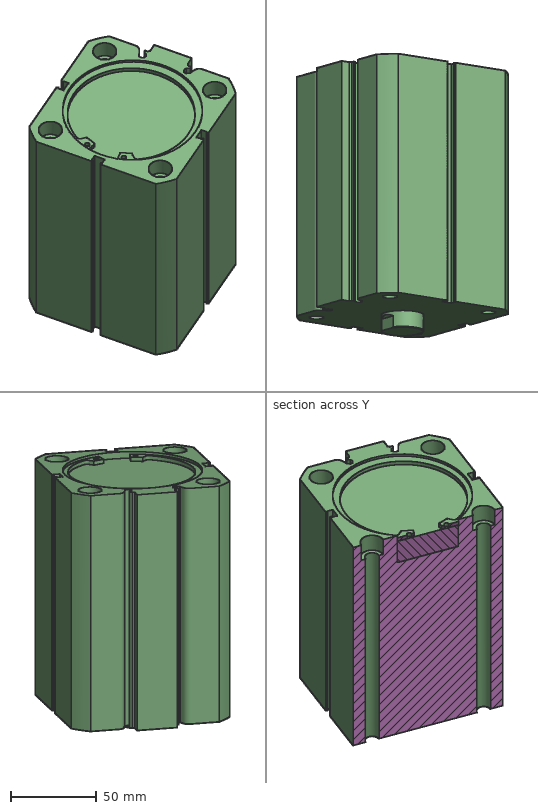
import cadquery as cq
import math

TOTAL_HEIGHT = 153.5
ROD_PROJECTION = 10.0
HOUSING_HEIGHT = TOTAL_HEIGHT - ROD_PROJECTION
HOUSING_SIDE = 96.5
HALF_SIDE = HOUSING_SIDE / 2
CORNER_RADIUS_FROM_AXIS = 62.2
TOTAL_DEPTH = 102.0

RAIL_WIDTH = 24.5
RAIL_HEIGHT = TOTAL_DEPTH - HOUSING_SIDE
HALF_RAIL = RAIL_WIDTH / 2

GROOVE_RADIUS = 2.1
GROOVE_X = 14.7
GROOVE_Y = 43.1
RAIL_LIP_X = 15.0
RAIL_LIP_TOP = 47.1
RAIL_LIP_BOTTOM = 45.9
RAIL_LIP_CHAMFER = 0.6
GROOVE_MOUTH_X = 19.3
GROOVE_EDGE_RADIUS = 4.0

SLOT_DEPTH = 4.8
SLOT_WIDTH = 6.6
SLOT_MOUTH_WIDTH = 5.0
SLOT_LIP = 1.2
SLOT_CHAMFER = 0.54

BOLT_SPACING = 72.0
BOLT_HOLE_DIAMETER = 8.6
COUNTERBORE_DIAMETER = 13.8
COUNTERBORE_DEPTH = 10.7

BORE_RADIUS = 41.0
CIRCLIP_RECESS = 1.5
CIRCLIP_THICKNESS = 2.5
COVER_THICKNESS = 15.4
COVER_TOP = HOUSING_HEIGHT - CIRCLIP_RECESS - CIRCLIP_THICKNESS
BORE_FLOOR = COVER_TOP - COVER_THICKNESS

CIRCLIP_INNER_RADIUS = 37.5
CIRCLIP_INNER_OFFSET = -1.7
LUG_ROOT = (18.9, -34.7)
LUG_TIP = (14.9, -30.7)
LUG_INNER_CORNER = (8.3, -33.2)
LUG_OUTER_CORNER = (9.8, -41.5)
LUG_ROOT_RADIUS = 2.3
LUG_HOLE_X = 12.0
LUG_HOLE_Y = -35.8
LUG_HOLE_DIAMETER = 2.8

ROD_DIAMETER = 24.9
ROD_RADIUS = ROD_DIAMETER / 2
FLAT_DISTANCE = 22.1
FLAT_START = 1.5
ROD_END_CHAMFER = 0.5


def make_outline():
    """Square block with turned corners and the rail on its +Y side."""
    block = cq.Workplane("XY").rect(HOUSING_SIDE, HOUSING_SIDE).extrude(HOUSING_HEIGHT)
    turned = cq.Workplane("XY").circle(CORNER_RADIUS_FROM_AXIS).extrude(HOUSING_HEIGHT)
    rail = (
        cq.Workplane("XY")
        .center(0, HALF_SIDE + RAIL_HEIGHT / 2)
        .rect(RAIL_WIDTH, RAIL_HEIGHT)
        .extrude(HOUSING_HEIGHT)
    )
    return block.intersect(turned).union(rail)


def make_rail_groove():
    """Cutter for the groove on the +X side of the rail, with a round bottom."""
    neck = GROOVE_RADIUS * math.cos(math.radians(45))
    lip_slope = HALF_SIDE - RAIL_LIP_TOP
    return (
        cq.Workplane("XY")
        .moveTo(HALF_RAIL, HALF_SIDE)
        .lineTo(HALF_RAIL + lip_slope, RAIL_LIP_TOP)
        .lineTo(RAIL_LIP_X, RAIL_LIP_TOP)
        .lineTo(RAIL_LIP_X, RAIL_LIP_BOTTOM)
        .lineTo(RAIL_LIP_X - RAIL_LIP_CHAMFER, RAIL_LIP_BOTTOM - RAIL_LIP_CHAMFER)
        .lineTo(GROOVE_X - neck, GROOVE_Y + neck)
        .threePointArc((GROOVE_X - neck, GROOVE_Y - neck), (GROOVE_X, GROOVE_Y - GROOVE_RADIUS))
        .threePointArc((GROOVE_X + neck, GROOVE_Y - neck), (GROOVE_X + GROOVE_RADIUS, GROOVE_Y))
        .lineTo(GROOVE_MOUTH_X, HALF_SIDE)
        .close()
        .extrude(HOUSING_HEIGHT)
    )


def make_sensor_slot():
    """Cutter for the T-shaped slot in the -Y side, with a chamfered mouth."""
    half_mouth = SLOT_MOUTH_WIDTH / 2
    half_slot = SLOT_WIDTH / 2
    right_half = [
        (half_mouth + SLOT_CHAMFER, -HALF_SIDE),
        (half_mouth, -HALF_SIDE + SLOT_CHAMFER),
        (half_mouth, -HALF_SIDE + SLOT_LIP),
        (half_slot, -HALF_SIDE + SLOT_LIP),
        (half_slot, -HALF_SIDE + SLOT_DEPTH),
    ]
    left_half = [(-x, y) for x, y in reversed(right_half)]
    return cq.Workplane("XY").polyline(right_half + left_half).close().extrude(HOUSING_HEIGHT)


def make_housing():
    housing = make_outline()

    groove = make_rail_groove()
    housing = housing.cut(groove).cut(groove.mirror("YZ"))
    for side in (-1, 1):
        mouth_edge = cq.selectors.NearestToPointSelector(
            (side * GROOVE_MOUTH_X, HALF_SIDE, HOUSING_HEIGHT / 2)
        )
        housing = housing.edges("|Z").edges(mouth_edge).fillet(GROOVE_EDGE_RADIUS)

    slot = make_sensor_slot()
    for angle in (-90, 0, 90):
        housing = housing.cut(slot.rotate((0, 0, 0), (0, 0, 1), angle))

    housing = (
        housing.faces(">Z")
        .workplane(origin=(0, 0, HOUSING_HEIGHT))
        .rect(BOLT_SPACING, BOLT_SPACING, forConstruction=True)
        .vertices()
        .cboreHole(BOLT_HOLE_DIAMETER, COUNTERBORE_DIAMETER, COUNTERBORE_DEPTH)
    )

    bore = (
        cq.Workplane("XY", origin=(0, 0, BORE_FLOOR))
        .circle(BORE_RADIUS)
        .extrude(HOUSING_HEIGHT - BORE_FLOOR)
    )
    rod_passage = cq.Workplane("XY").circle(ROD_RADIUS).extrude(BORE_FLOOR)
    return housing.cut(bore).cut(rod_passage)


def make_cover():
    return cq.Workplane("XY", origin=(0, 0, BORE_FLOOR)).circle(BORE_RADIUS).extrude(COVER_THICKNESS)


def make_circlip():
    """Internal retaining ring, thickest at +Y, open between two lugs at -Y."""
    plane = cq.Workplane("XY", origin=(0, 0, COVER_TOP))
    disc = plane.circle(BORE_RADIUS).extrude(CIRCLIP_THICKNESS)
    opening = plane.center(0, CIRCLIP_INNER_OFFSET).circle(CIRCLIP_INNER_RADIUS).extrude(CIRCLIP_THICKNESS)
    circlip = disc.cut(opening)

    lug_base = (LUG_ROOT[0], LUG_OUTER_CORNER[1])
    lug = (
        plane.polyline([LUG_ROOT, LUG_TIP, LUG_INNER_CORNER, LUG_OUTER_CORNER, lug_base])
        .close()
        .extrude(CIRCLIP_THICKNESS)
        .intersect(disc)
    )
    circlip = circlip.union(lug).union(lug.mirror("YZ"))

    gap_right = [LUG_INNER_CORNER, LUG_OUTER_CORNER]
    gap_left = [(-x, y) for x, y in reversed(gap_right)]
    circlip = circlip.cut(plane.polyline(gap_right + gap_left).close().extrude(CIRCLIP_THICKNESS))

    for side in (-1, 1):
        root_edge = cq.selectors.NearestToPointSelector(
            (side * LUG_ROOT[0], LUG_ROOT[1], COVER_TOP + CIRCLIP_THICKNESS / 2)
        )
        circlip = circlip.edges("|Z").edges(root_edge).fillet(LUG_ROOT_RADIUS)

    holes = (
        plane.pushPoints([(-LUG_HOLE_X, LUG_HOLE_Y), (LUG_HOLE_X, LUG_HOLE_Y)])
        .circle(LUG_HOLE_DIAMETER / 2)
        .extrude(CIRCLIP_THICKNESS)
    )
    return circlip.cut(holes)


def make_rod():
    """Rod from the underside of the cover to the lower end, flattened on +Y and -Y."""
    rod = (
        cq.Workplane("XY", origin=(0, 0, -ROD_PROJECTION))
        .circle(ROD_RADIUS)
        .extrude(ROD_PROJECTION + BORE_FLOOR)
        .faces("<Z")
        .chamfer(ROD_END_CHAMFER)
    )

    half_flat = FLAT_DISTANCE / 2
    flat_depth = ROD_RADIUS - half_flat
    flat = (
        cq.Workplane("YZ")
        .moveTo(half_flat, -ROD_PROJECTION)
        .lineTo(half_flat, -FLAT_START - flat_depth)
        .lineTo(ROD_RADIUS, -FLAT_START)
        .lineTo(ROD_RADIUS, -ROD_PROJECTION)
        .close()
        .extrude(ROD_RADIUS, both=True)
    )
    return rod.cut(flat).cut(flat.mirror("XZ"))


housing = make_housing().solids()
cover = make_cover().solids()
circlip = make_circlip().solids()
rod = make_rod().solids()

result = cq.Compound.makeCompound([housing.val(), cover.val(), circlip.val(), rod.val()])